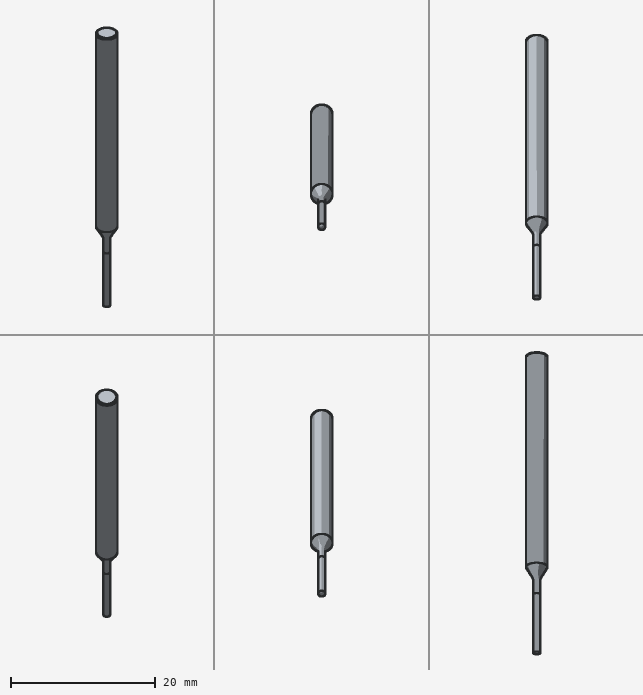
import cadquery as cq
import math

total_length = 45.0
shank_radius = 3.0 / 2
cutter_radius = 1.0 / 2

cutter_top = 9.0
shank_bottom = 13.15

point_angle = 140.0
point_height = cutter_radius / math.tan(math.radians(point_angle / 2))

cone_half_angle = math.radians(30.0)
blend_radius = 1.5
blend_growth = blend_radius * (1 - math.cos(cone_half_angle))
blend_height = blend_radius * math.sin(cone_half_angle)
cone_start_radius = cutter_radius + blend_growth
cone_height = (shank_radius - cone_start_radius) / math.tan(cone_half_angle)
cone_bottom = shank_bottom - cone_height
stem_top = cone_bottom - blend_height

bevel_size = 0.2


def revolve_about_z(profile):
    """Turn a closed (radius, height) profile on the XZ plane about the Z axis."""
    return profile.close().revolve(360, (0, 0, 0), (0, 1, 0))


def make_cutter():
    """Straight drill with a conical point at the bottom."""
    profile = (
        cq.Workplane("XZ")
        .moveTo(0, 0)
        .lineTo(cutter_radius, point_height)
        .lineTo(cutter_radius, cutter_top)
        .lineTo(0, cutter_top)
    )
    return revolve_about_z(profile)


def make_neck():
    """Stem that flares through a tangent arc into a cone."""
    half_blend = cone_half_angle / 2
    blend_middle = (
        cutter_radius + blend_radius * (1 - math.cos(half_blend)),
        stem_top + blend_radius * math.sin(half_blend),
    )
    profile = (
        cq.Workplane("XZ")
        .moveTo(0, cutter_top)
        .lineTo(cutter_radius, cutter_top)
        .lineTo(cutter_radius, stem_top)
        .threePointArc(blend_middle, (cone_start_radius, cone_bottom))
        .lineTo(shank_radius, shank_bottom)
        .lineTo(0, shank_bottom)
    )
    return revolve_about_z(profile)


def make_shank():
    """Cylindrical shank with a bevelled upper end."""
    profile = (
        cq.Workplane("XZ")
        .moveTo(0, shank_bottom)
        .lineTo(shank_radius, shank_bottom)
        .lineTo(shank_radius, total_length - bevel_size)
        .lineTo(shank_radius - bevel_size, total_length)
        .lineTo(0, total_length)
    )
    return revolve_about_z(profile)


cutter = make_cutter()
neck = make_neck()
shank = make_shank()

result = cq.Compound.makeCompound([cutter.val(), neck.val(), shank.val()])